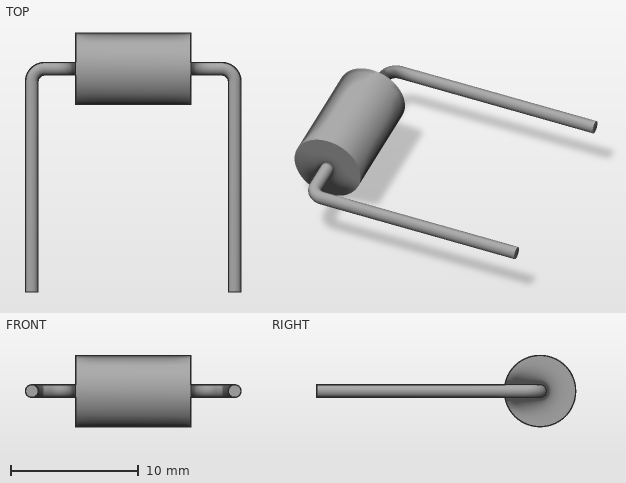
import cadquery as cq
import math

body_diameter = 5.6
body_length = 9.0

wire_diameter = 1.0
lead_spacing = 15.87
bend_radius = 1.0
lead_reach = 17.47


def make_body():
    end_plane = cq.Workplane("YZ", origin=(-body_length / 2, 0, 0))
    return end_plane.circle(body_diameter / 2).extrude(body_length)


def make_lead(side):
    """Bent wire butting against the body end on the given side (-1 or +1 along X)."""
    start_x = side * body_length / 2
    leg_x = side * lead_spacing / 2
    bend_start_x = leg_x - side * bend_radius
    bend_mid = (
        bend_start_x + side * bend_radius * math.sin(math.pi / 4),
        -bend_radius + bend_radius * math.cos(math.pi / 4),
    )
    path = (
        cq.Workplane("XY")
        .moveTo(start_x, 0)
        .lineTo(bend_start_x, 0)
        .threePointArc(bend_mid, (leg_x, -bend_radius))
        .lineTo(leg_x, -lead_reach)
    )
    return cq.Workplane("YZ", origin=(start_x, 0, 0)).circle(wire_diameter / 2).sweep(path)


body = make_body()
leads = [make_lead(side) for side in (-1, 1)]

result = cq.Compound.makeCompound([body.val(), *[lead.val() for lead in leads]])